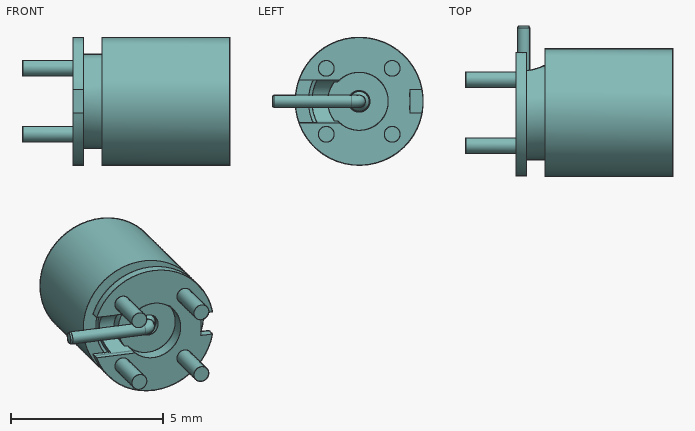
import cadquery as cq

overall_length = 6.8
body_radius = 2.1
body_start = 2.6
flange_start = 1.645
flange_end = 2.0
neck_radius = 1.55

bore_radius = 0.95
core_radius = 1.035
bore_floor = 2.175

ring_radius = 1.665
ring_depth = ring_radius - neck_radius

slot_half_width = 0.71
slot_round_start = 1.87
notch_half_width = 0.39
notch_floor = 1.66

pin_radius = 0.26
pin_offset = 1.08

lead_radius = 0.205
lead_x = 1.905
lead_tip_y = 2.85
lead_bend_radius = 0.26
lead_tip_chamfer_length = 0.06
lead_tip_chamfer_side = 0.035
lead_root_radius = 0.325
well_radius = 0.355
well_depth = 0.205


def cylinder_x(radius, start, end):
    """Cylinder on the X axis between two X positions."""
    return cq.Workplane("YZ", origin=(start, 0, 0)).circle(radius).extrude(end - start)


def make_housing():
    """Flange, neck and body, with the ring cut around the neck root."""
    flange = cylinder_x(body_radius, flange_start, flange_end)
    neck = cylinder_x(neck_radius, flange_end, body_start)
    body = cylinder_x(body_radius, body_start, overall_length)
    ring = (
        cq.Workplane("XY")
        .moveTo(body_start, neck_radius)
        .lineTo(body_start, ring_radius)
        .lineTo(body_start + ring_depth, neck_radius)
        .close()
        .revolve(360, (0, 0, 0), (1, 0, 0))
    )
    return flange.union(neck).union(body).cut(ring)


def make_bore():
    """Blind bore and the well around the root of the lead."""
    bore = cylinder_x(bore_radius, flange_start, bore_floor)
    well = cylinder_x(well_radius, bore_floor, bore_floor + well_depth)
    return bore.union(well)


def make_lead_slot():
    """Round-ended slot through the flange and neck, stopping at the core."""
    slot = (
        cq.Workplane("XZ")
        .moveTo(flange_start, -slot_half_width)
        .lineTo(slot_round_start, -slot_half_width)
        .threePointArc((slot_round_start + slot_half_width, 0), (slot_round_start, slot_half_width))
        .lineTo(flange_start, slot_half_width)
        .close()
        .extrude(-body_radius)
    )
    return slot.cut(cylinder_x(core_radius, bore_floor, body_start))


def make_key_notch():
    """Rectangular notch in the flange rim on the -Y side."""
    return cq.Workplane("XY").box(
        flange_end - flange_start,
        body_radius - notch_floor,
        2 * notch_half_width,
        centered=(False, False, True),
    ).translate((flange_start, -body_radius, 0))


def make_lead():
    """Round lead with a conical root in the well, bent from the X axis toward +Y."""
    well_floor = bore_floor + well_depth
    bend_start_x = lead_x + lead_bend_radius
    path = (
        cq.Workplane("XY")
        .moveTo(well_floor, 0)
        .lineTo(bend_start_x, 0)
        .tangentArcPoint((lead_x, lead_bend_radius), relative=False)
        .lineTo(lead_x, lead_tip_y)
    )
    lead = (
        cq.Workplane("YZ", origin=(well_floor, 0, 0))
        .circle(lead_radius)
        .sweep(path)
        .faces(">Y")
        .chamfer(lead_tip_chamfer_length, lead_tip_chamfer_side)
    )
    root_cone = (
        cq.Workplane("XY")
        .moveTo(well_floor, 0)
        .lineTo(well_floor, lead_root_radius)
        .lineTo(bore_floor, lead_radius)
        .lineTo(bore_floor, 0)
        .close()
        .revolve(360, (0, 0, 0), (1, 0, 0))
    )
    return lead.union(root_cone)


result = make_housing().cut(make_bore()).cut(make_lead_slot()).cut(make_key_notch())
for side_y in (-pin_offset, pin_offset):
    for side_z in (-pin_offset, pin_offset):
        pin = cylinder_x(pin_radius, 0, flange_start).translate((0, side_y, side_z))
        result = result.union(pin)
result = result.union(make_lead())